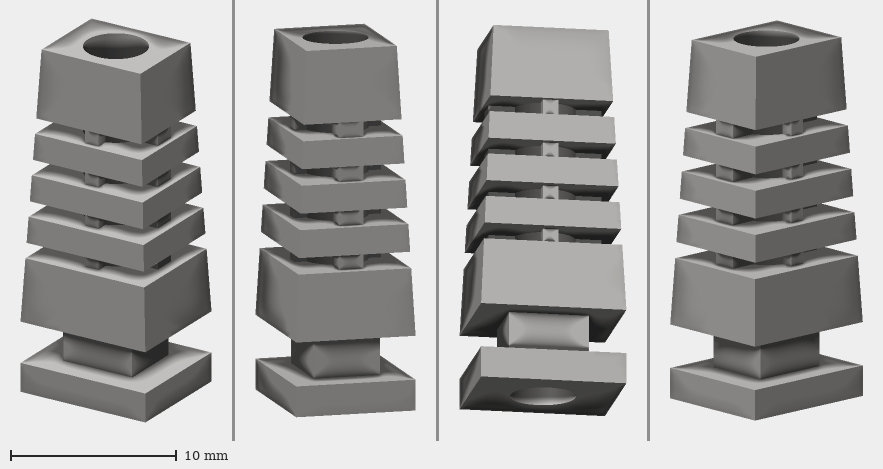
import cadquery as cq

height = 22.3
base_x, base_y = 8.9, 7.5
top_x, top_y = 7.05, 5.66
bore_diameter = 4.0

base_height = 1.9
neck_height = 2.7
neck_x, neck_y = 4.9, 4.15

groove_count = 4
groove_height = 1.0
groove_pitch = 2.7
first_groove_z = 8.72

long_rib_length, long_rib_width = 6.91, 1.52
short_rib_length, short_rib_width = 5.45, 0.95

sleeve_z = base_height + neck_height
sleeve_height = height - sleeve_z


def block(size_x, size_y, size_z, bottom_z):
    """Box centred on the Z axis, standing on bottom_z."""
    return cq.Workplane("XY", origin=(0, 0, bottom_z)).box(
        size_x, size_y, size_z, centered=(True, True, False)
    )


def tapered_sleeve():
    """Rectangular frustum rising from the neck to the top face."""
    return (
        cq.Workplane("XY", origin=(0, 0, sleeve_z))
        .rect(base_x, base_y)
        .workplane(offset=sleeve_height)
        .rect(top_x, top_y)
        .loft(ruled=True)
    )


def groove(bottom_z):
    """Full-width slice of the sleeve, less the ribs left standing in it."""
    slice_block = block(base_x, base_y, groove_height, bottom_z)
    long_rib = block(long_rib_length, long_rib_width, groove_height, bottom_z)
    short_rib = block(short_rib_width, short_rib_length, groove_height, bottom_z)
    return slice_block.cut(long_rib).cut(short_rib)


result = block(base_x, base_y, base_height, 0)
result = result.union(block(neck_x, neck_y, neck_height, base_height))
result = result.union(tapered_sleeve())

for index in range(groove_count):
    result = result.cut(groove(first_groove_z + index * groove_pitch))

bore = cq.Workplane("XY").circle(bore_diameter / 2).extrude(height)
result = result.cut(bore)